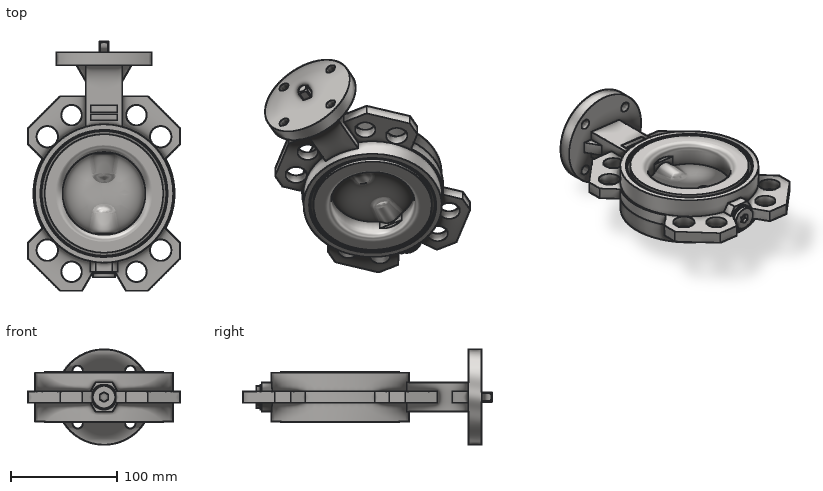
import cadquery as cq
import math


BODY_RADIUS = 65.0
BODY_HALF_HEIGHT = 23.0
BAND_RADIUS = 66.5
PLATE_THICKNESS = 10.7
BORE_RADIUS = 39.0
SEAT_RADIUS = 55.7
SEAT_HALF_HEIGHT = 23.6
SEAT_BEAD_RADIUS = 6.4
GROOVE_RADIUS = 58.5
GROOVE_RIM_RADIUS = 59.9
GROOVE_RIM_DEPTH = 0.5
GROOVE_FLOOR = 20.0

LUG_HALF_WIDTH = 71.5
LUG_HALF_LENGTH = 91.5
LUG_CHAMFER = 30.2
LUG_SIDE_END = 46.2
LUG_GAP_HALF_WIDTH = 20.5
LUG_GAP_ANGLE = 30.0
LUG_GAP_DEPTH = 31.5
OUTER_BOLT = {"circle_radius": 79.7, "angle": 67.5, "diameter": 19.0}
INNER_BOLT = {"circle_radius": 75.4, "angle": 45.0, "diameter": 19.9}

NECK_WIDTH = 34.6
NECK_THICKNESS = 27.5
NECK_START = 60.0
FLANGE_RADIUS = 45.0
FLANGE_START = 120.5
FLANGE_THICKNESS = 12.5
FLANGE_HOLE_DIAMETER = 9.4
FLANGE_HOLE_CIRCLE = 70.0
GUSSET_WIDTH = 8.6
GUSSET_LENGTH = 14.9
LABEL_WIDTH = 25.0
LABEL_DEPTH = 0.5
LABEL_SPANS = ((68.7, 74.5), (76.5, 82.9))

STEM_WIDTH = 9.3
STEM_CORNER_RADIUS = 5.9
STEM_END_CHAMFER = 0.6
STEM_TOP = 143.0

HEX_FLATS = 27.5
HEX_END = 73.8
COLLAR_RADIUS = 11.8
COLLAR_END = 75.2
PLUG_RADIUS = 10.5
PLUG_END = 78.9
SOCKET_FLATS = 8.0
SOCKET_DEPTH = 4.0

DISC_RIM_HALF_THICKNESS = 2.3
DISC_CENTRE_HALF_THICKNESS = 3.4
PAD_FACE = 37.2
PAD_HALF_HEIGHT = 12.4
PAD_OVERLAP = 2.0
HUB_NOSE_START = 18.75
HUB_NOSE_FLATTENING = 0.68
HUB_NOSE_CREST = 8.4
HUB_FACE_CREST = 9.9
HUB_NOSE_CROWN_RADIUS = 9.0
HUB_FACE_CROWN_RADIUS = 10.1
HUB_FLANK_ANGLE = 41.0
HUB_FILLET = 5.5


def cylinder_along_y(radius, start, end):
    return cq.Workplane("XZ", origin=(0, start, 0)).circle(radius).extrude(start - end)


def hexagon_along_y(flats, start, end, turn):
    corner_diameter = flats / math.cos(math.radians(30))
    prism = cq.Workplane("XZ", origin=(0, start, 0)).polygon(6, corner_diameter).extrude(start - end)
    return prism.rotate((0, 0, 0), (0, 1, 0), turn)


def plate(points):
    outline = cq.Workplane("XY", origin=(0, 0, -PLATE_THICKNESS / 2)).polyline(points).close()
    return outline.extrude(PLATE_THICKNESS)


def make_ring():
    bead_start = BORE_RADIUS + SEAT_BEAD_RADIUS
    bead_base = SEAT_HALF_HEIGHT - SEAT_BEAD_RADIUS
    bead_mid = SEAT_BEAD_RADIUS * math.sin(math.radians(45))
    upper = (
        cq.Workplane("XZ")
        .moveTo(BORE_RADIUS, 0)
        .lineTo(BORE_RADIUS, bead_base)
        .threePointArc((bead_start - bead_mid, bead_base + bead_mid), (bead_start, SEAT_HALF_HEIGHT))
        .lineTo(SEAT_RADIUS, SEAT_HALF_HEIGHT)
        .lineTo(SEAT_RADIUS, GROOVE_FLOOR)
        .lineTo(GROOVE_RADIUS, GROOVE_FLOOR)
        .lineTo(GROOVE_RADIUS, BODY_HALF_HEIGHT - GROOVE_RIM_DEPTH)
        .lineTo(GROOVE_RIM_RADIUS, BODY_HALF_HEIGHT)
        .lineTo(BODY_RADIUS, BODY_HALF_HEIGHT)
        .lineTo(BODY_RADIUS, 0)
        .close()
        .revolve(360, (0, 0, 0), (0, 1, 0))
    )
    return upper.union(upper.mirror("XY"))


def make_lugs():
    chamfer_x = LUG_HALF_WIDTH - LUG_CHAMFER
    chamfer_y = LUG_HALF_LENGTH - LUG_CHAMFER
    side_foot = (LUG_HALF_WIDTH - LUG_SIDE_END, 0)
    upper = [
        (0, LUG_HALF_LENGTH),
        (chamfer_x, LUG_HALF_LENGTH),
        (LUG_HALF_WIDTH, chamfer_y),
        (LUG_HALF_WIDTH, LUG_SIDE_END),
        side_foot,
        (0, 0),
    ]
    gap_foot_x = LUG_GAP_HALF_WIDTH - LUG_GAP_DEPTH * math.tan(math.radians(LUG_GAP_ANGLE))
    lower = [
        (LUG_GAP_HALF_WIDTH, -LUG_HALF_LENGTH),
        (chamfer_x, -LUG_HALF_LENGTH),
        (LUG_HALF_WIDTH, -chamfer_y),
        (LUG_HALF_WIDTH, -LUG_SIDE_END),
        side_foot,
        (0, 0),
        (gap_foot_x, LUG_GAP_DEPTH - LUG_HALF_LENGTH),
    ]
    half = plate(upper).union(plate(lower))
    band = cq.Workplane("XY").circle(BAND_RADIUS).extrude(PLATE_THICKNESS / 2, both=True)
    bore = cq.Workplane("XY").circle(BODY_RADIUS - 1).extrude(PLATE_THICKNESS, both=True)
    return half.union(half.mirror("YZ")).union(band).cut(bore)


def make_bolt_holes(circle_radius, angle, diameter):
    x = circle_radius * math.cos(math.radians(angle))
    y = circle_radius * math.sin(math.radians(angle))
    pattern = cq.Workplane("XY").rect(2 * x, 2 * y, forConstruction=True).vertices()
    return pattern.circle(diameter / 2).extrude(PLATE_THICKNESS, both=True)


def make_neck():
    length = FLANGE_START - NECK_START
    neck = cq.Workplane("XY").box(NECK_WIDTH, length, NECK_THICKNESS)
    neck = neck.translate((0, NECK_START + length / 2, 0))
    for start, end in LABEL_SPANS:
        recess = cq.Workplane("XY").box(LABEL_WIDTH, end - start, 2 * LABEL_DEPTH)
        neck = neck.cut(recess.translate((0, (start + end) / 2, NECK_THICKNESS / 2)))
    gusset_reach = NECK_WIDTH / 2 + GUSSET_WIDTH
    gusset_base = FLANGE_START - GUSSET_LENGTH
    gussets = plate(
        [
            (-gusset_reach, FLANGE_START),
            (gusset_reach, FLANGE_START),
            (NECK_WIDTH / 2, gusset_base),
            (-NECK_WIDTH / 2, gusset_base),
        ]
    )
    return neck.union(gussets)


def make_flange():
    end = FLANGE_START + FLANGE_THICKNESS
    flange = cylinder_along_y(FLANGE_RADIUS, FLANGE_START, end)
    for index in range(4):
        hole = cylinder_along_y(FLANGE_HOLE_DIAMETER / 2, FLANGE_START, end)
        hole = hole.translate((FLANGE_HOLE_CIRCLE / 2, 0, 0))
        flange = flange.cut(hole.rotate((0, 0, 0), (0, 1, 0), 45 + 90 * index))
    return flange


def make_stem():
    length = STEM_TOP - FLANGE_START
    square = cq.Workplane("XY").box(STEM_WIDTH, length, STEM_WIDTH)
    square = square.translate((0, FLANGE_START + length / 2, 0))
    turned = cylinder_along_y(STEM_CORNER_RADIUS, FLANGE_START, STEM_TOP)
    turned = turned.faces(">Y").chamfer(STEM_END_CHAMFER + STEM_CORNER_RADIUS - STEM_WIDTH / 2)
    return square.intersect(turned)


def make_plug():
    plug = hexagon_along_y(HEX_FLATS, -NECK_START, -HEX_END, 0)
    plug = plug.union(cylinder_along_y(COLLAR_RADIUS, -HEX_END, -COLLAR_END))
    plug = plug.union(cylinder_along_y(PLUG_RADIUS, -COLLAR_END, -PLUG_END))
    return plug.cut(hexagon_along_y(SOCKET_FLATS, SOCKET_DEPTH - PLUG_END, -PLUG_END, 90))


def make_disc():
    rim_radius = BORE_RADIUS + PAD_OVERLAP
    rise = DISC_CENTRE_HALF_THICKNESS - DISC_RIM_HALF_THICKNESS
    dome_radius = (rim_radius**2 + rise**2) / (2 * rise)
    mid_x = rim_radius / 2
    mid_z = DISC_CENTRE_HALF_THICKNESS - dome_radius + math.sqrt(dome_radius**2 - mid_x**2)
    return (
        cq.Workplane("XZ")
        .lineTo(rim_radius, 0)
        .lineTo(rim_radius, DISC_RIM_HALF_THICKNESS)
        .threePointArc((mid_x, mid_z), (0, DISC_CENTRE_HALF_THICKNESS))
        .close()
        .revolve(360, (0, 0, 0), (0, 1, 0))
    )


def make_pad():
    """Flat pad across the +Y end of the bore; its top and bottom slope outward at 45 degrees."""
    outer = BORE_RADIUS + PAD_OVERLAP
    outer_height = PAD_HALF_HEIGHT + outer - PAD_FACE
    block = (
        cq.Workplane("YZ")
        .moveTo(PAD_FACE, -PAD_HALF_HEIGHT)
        .lineTo(outer, -outer_height)
        .lineTo(outer, outer_height)
        .lineTo(PAD_FACE, PAD_HALF_HEIGHT)
        .close()
        .extrude(BORE_RADIUS, both=True)
    )
    limit = cq.Workplane("XY").circle(outer).extrude(outer_height, both=True)
    return block.intersect(limit)


def hub_profile(taper):
    """Crest height, shoulder point and foot half width; taper is 0 at the nose and 1 at the pad face."""
    radius = HUB_NOSE_CROWN_RADIUS + taper * (HUB_FACE_CROWN_RADIUS - HUB_NOSE_CROWN_RADIUS)
    crest = HUB_NOSE_CREST + taper * (HUB_FACE_CREST - HUB_NOSE_CREST)
    slope = math.radians(HUB_FLANK_ANGLE)
    shoulder_x = radius * math.sin(slope)
    shoulder_z = crest - radius * (1 - math.cos(slope))
    return crest, (shoulder_x, shoulder_z), shoulder_x + shoulder_z / math.tan(slope)


def make_hub_section(position, taper):
    """Hub cut across the shaft: a crowned top between two flanks that run straight down to Z = 0."""
    crest, (shoulder_x, shoulder_z), foot = hub_profile(taper)
    return (
        cq.Workplane("XZ", origin=(0, position, 0))
        .moveTo(-foot, 0)
        .lineTo(-shoulder_x, shoulder_z)
        .threePointArc((0, crest), (shoulder_x, shoulder_z))
        .lineTo(foot, 0)
        .close()
    )


def make_hub_nose():
    """Nose section turned about its own vertical axis, then flattened along Y to an oval plan."""
    crest, shoulder, foot = hub_profile(0)
    half_slope = math.radians(HUB_FLANK_ANGLE / 2)
    crown_mid_x = HUB_NOSE_CROWN_RADIUS * math.sin(half_slope)
    crown_mid_z = crest - HUB_NOSE_CROWN_RADIUS * (1 - math.cos(half_slope))
    round_nose = (
        cq.Workplane("XZ")
        .lineTo(foot, 0)
        .lineTo(*shoulder)
        .threePointArc((crown_mid_x, crown_mid_z), (0, crest))
        .close()
        .revolve(360, (0, 0, 0), (0, 1, 0))
    )
    flatten = cq.Matrix([[1, 0, 0, 0], [0, HUB_NOSE_FLATTENING, 0, HUB_NOSE_START], [0, 0, 1, 0]])
    return cq.Workplane(round_nose.val().transformGeometry(flatten))


def make_hub():
    end = BORE_RADIUS + PAD_OVERLAP
    end_taper = (end - HUB_NOSE_START) / (PAD_FACE - HUB_NOSE_START)
    sections = [make_hub_section(HUB_NOSE_START, 0), make_hub_section(end, end_taper)]
    barrel = cq.Solid.makeLoft([section.val() for section in sections], True)
    return cq.Workplane(barrel).union(make_hub_nose())


def is_hub_base_edge(edge):
    is_curve = edge.geomType() not in ("LINE", "CIRCLE")
    return is_curve and edge.BoundingBox().zmax < DISC_CENTRE_HALF_THICKNESS


def make_upper_disc():
    """Upper half of the disc between the two pad faces, with both shaft hubs."""
    between_pads = cq.Workplane("XY").box(3 * BORE_RADIUS, 2 * PAD_FACE, 2 * PAD_HALF_HEIGHT)
    hub = make_hub()
    disc = make_disc().union(hub).union(hub.mirror("XZ")).intersect(between_pads)
    base_edges = [edge for edge in disc.edges().vals() if is_hub_base_edge(edge)]
    return disc.newObject(base_edges).fillet(HUB_FILLET)


result = make_ring().union(make_lugs())
for bolt in (OUTER_BOLT, INNER_BOLT):
    result = result.cut(make_bolt_holes(**bolt))
result = result.union(make_neck()).union(make_flange()).union(make_stem()).union(make_plug())
pad = make_pad()
result = result.union(pad).union(pad.mirror("XZ"))

upper_disc = make_upper_disc()
lower_disc = upper_disc.mirror("XY")
result = result.union(upper_disc, clean=False).union(lower_disc, clean=False)